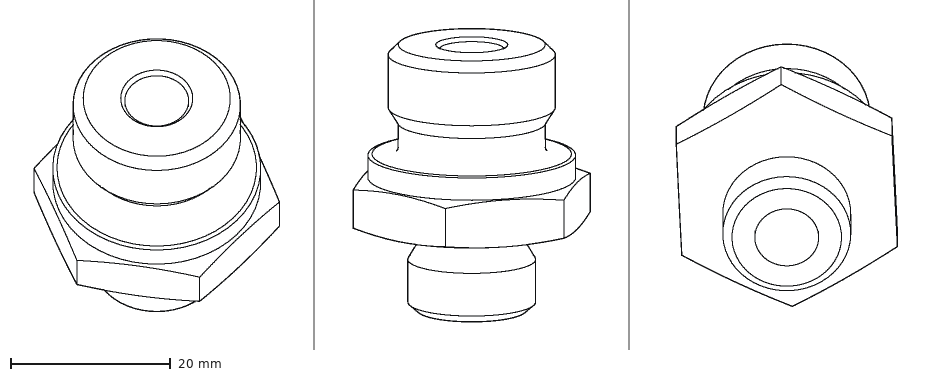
import cadquery as cq
import math

total_height = 34.0
hex_bottom = 10.98
hex_top = 17.0
collar_top = 20.0

lower_thread_dia = 16.0
lower_neck_dia = 13.7
lower_chamfer_width = 1.15
lower_chamfer_height = 1.02
lower_thread_top = 6.5
lower_neck_start = 8.25
lower_run_out_end = 8.7
lower_fillet = 0.92

upper_thread_dia = 20.95
upper_neck_dia = 18.4
upper_chamfer_height = 1.25
upper_thread_bottom = 25.98
upper_neck_end = 24.07
upper_run_out_start = 23.4
upper_fillet_start = 20.98
upper_fillet = 1.35
run_out_step = 0.1

collar_dia = 26.0
collar_edge_drop = 0.15
dish_outer_dia = 24.95

across_flats = 27.0
hex_chamfer_angle = 15.0
hex_sides = 6
half_side_angle = 180 / hex_sides

bore_dia = 8.0
bore_mouth_dia = 9.0
bore_chamfer = (bore_mouth_dia - bore_dia) / 2


def turned_body():
    """Revolve the outside profile, without the hexagon corners."""
    lower_r = lower_thread_dia / 2
    lower_neck_r = lower_neck_dia / 2
    upper_r = upper_thread_dia / 2
    upper_neck_r = upper_neck_dia / 2
    collar_r = collar_dia / 2
    diagonal = math.sqrt(0.5)
    lower_arc_r = lower_neck_r + lower_fillet
    upper_arc_r = upper_neck_r + upper_fillet
    lower_arc_z = hex_bottom - lower_fillet
    profile = (
        cq.Workplane("XZ")
        .moveTo(0, 0)
        .lineTo(lower_r - lower_chamfer_width, 0)
        .lineTo(lower_r, lower_chamfer_height)
        .lineTo(lower_r, lower_thread_top)
        .lineTo(lower_neck_r + run_out_step, lower_neck_start)
        .lineTo(lower_neck_r, lower_run_out_end)
        .lineTo(lower_neck_r, lower_arc_z)
        .threePointArc(
            (lower_arc_r - lower_fillet * diagonal, lower_arc_z + lower_fillet * diagonal),
            (lower_arc_r, hex_bottom),
        )
        .lineTo(collar_r, hex_bottom)
        .lineTo(collar_r, collar_top - collar_edge_drop)
        .lineTo(dish_outer_dia / 2, collar_top)
        .lineTo(upper_arc_r, upper_fillet_start - upper_fillet)
        .threePointArc(
            (upper_arc_r - upper_fillet * diagonal, upper_fillet_start - upper_fillet * diagonal),
            (upper_neck_r, upper_fillet_start),
        )
        .lineTo(upper_neck_r, upper_run_out_start)
        .lineTo(upper_neck_r + run_out_step, upper_neck_end)
        .lineTo(upper_r, upper_thread_bottom)
        .lineTo(upper_r, total_height - upper_chamfer_height)
        .lineTo(upper_neck_r, total_height)
        .lineTo(0, total_height)
        .close()
    )
    return profile.revolve(360, (0, 0), (0, 1))


def hexagon():
    """Make the hexagon, corners toward +Y and -Y, with both faces cone-chamfered."""
    flat_r = across_flats / 2
    corner_r = flat_r / math.cos(math.radians(half_side_angle))
    cone_clearance = 1.7
    outer_r = corner_r + cone_clearance
    drop = (outer_r - flat_r) * math.tan(math.radians(hex_chamfer_angle))
    prism = (
        cq.Workplane("XY", origin=(0, 0, hex_bottom))
        .polygon(hex_sides, 2 * corner_r)
        .extrude(hex_top - hex_bottom)
        .rotate((0, 0, 0), (0, 0, 1), half_side_angle)
    )
    envelope = (
        cq.Workplane("XZ")
        .moveTo(0, hex_bottom)
        .lineTo(flat_r, hex_bottom)
        .lineTo(outer_r, hex_bottom + drop)
        .lineTo(outer_r, hex_top - drop)
        .lineTo(flat_r, hex_top)
        .lineTo(0, hex_top)
        .close()
        .revolve(360, (0, 0), (0, 1))
    )
    return prism.intersect(envelope)


def bore():
    """Make the through bore with a 45 degree chamfer at its upper mouth."""
    bore_r = bore_dia / 2
    return (
        cq.Workplane("XZ")
        .moveTo(0, 0)
        .lineTo(bore_r, 0)
        .lineTo(bore_r, total_height - bore_chamfer)
        .lineTo(bore_r + bore_chamfer, total_height)
        .lineTo(0, total_height)
        .close()
        .revolve(360, (0, 0), (0, 1))
    )


result = turned_body().union(hexagon()).cut(bore())